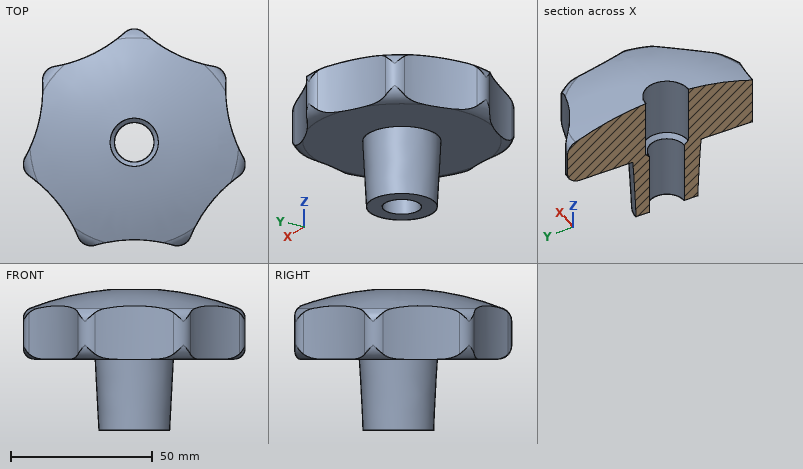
import cadquery as cq
import math

lobe_count = 7
tip_radius = 40.0
rounding_radius = 5.0
scallop_radius = 50.0
stem_height = 25.0
apex_height = 50.0
dome_radius = 100.0
stem_bottom_radius = 12.5
stem_draft = math.radians(3)
stem_top_radius = stem_bottom_radius + stem_height * math.tan(stem_draft)
bore_radius = 6.92
clearance_radius = 8.5
shoulder_bottom_z = stem_height
cutting_overrun = 5.0

dome_centre_z = apex_height - dome_radius
rounding_centre_radius = tip_radius - rounding_radius


def dome_height(radius):
    """Height of the dome surface at a distance from the knob axis."""
    return dome_centre_z + math.sqrt(dome_radius**2 - radius**2)


half_pitch = math.pi / lobe_count
tip_centre_across = rounding_centre_radius * math.sin(half_pitch)
tip_centre_along = rounding_centre_radius * math.cos(half_pitch)
scallop_centre_distance = tip_centre_along + math.sqrt(
    (scallop_radius + rounding_radius) ** 2 - tip_centre_across**2
)
scallop_floor_radius = scallop_centre_distance - scallop_radius


def polar(radius, angle):
    """Cartesian pair for a point at a distance and angle from the origin."""
    return (radius * math.cos(angle), radius * math.sin(angle))


def make_turned_head():
    """Head before scalloping: flat underside, rounded rim and shallow dome."""
    diagonal = rounding_radius * math.sqrt(0.5)
    lower_centre_z = stem_height + rounding_radius
    upper_centre_z = dome_centre_z + math.sqrt(
        (dome_radius - rounding_radius) ** 2 - rounding_centre_radius**2
    )
    rim_slope = math.acos(rounding_centre_radius / (dome_radius - rounding_radius))
    rim_end_radius = dome_radius * math.cos(rim_slope)
    rim_middle_offset = polar(rounding_radius, rim_slope / 2)
    dome_middle_radius = rim_end_radius / 2

    profile = (
        cq.Workplane("XZ")
        .moveTo(0, stem_height)
        .lineTo(rounding_centre_radius, stem_height)
        .threePointArc(
            (rounding_centre_radius + diagonal, lower_centre_z - diagonal),
            (tip_radius, lower_centre_z),
        )
        .lineTo(tip_radius, upper_centre_z)
        .threePointArc(
            (rounding_centre_radius + rim_middle_offset[0], upper_centre_z + rim_middle_offset[1]),
            (rim_end_radius, dome_height(rim_end_radius)),
        )
        .threePointArc(
            (dome_middle_radius, dome_height(dome_middle_radius)),
            (0, apex_height),
        )
        .close()
    )
    return profile.revolve(360, (0, 0, 0), (0, 1, 0))


def make_lobed_prism():
    """Upright prism with the seven-lobed outline; one lobe points along +Y."""
    tangent_share = scallop_radius / (scallop_radius + rounding_radius)
    tangent_across = tip_centre_across * tangent_share
    tangent_along = scallop_centre_distance + (tip_centre_along - scallop_centre_distance) * tangent_share
    tangent_radius = math.hypot(tangent_across, tangent_along)
    tangent_offset = half_pitch - math.atan2(tangent_across, tangent_along)

    first_tip_angle = math.pi / 2
    outline = cq.Workplane("XY").moveTo(*polar(tangent_radius, first_tip_angle - tangent_offset))
    for lobe in range(lobe_count):
        tip_angle = first_tip_angle + 2 * half_pitch * lobe
        next_tip_angle = tip_angle + 2 * half_pitch
        outline = outline.threePointArc(
            polar(tip_radius, tip_angle),
            polar(tangent_radius, tip_angle + tangent_offset),
        ).threePointArc(
            polar(scallop_floor_radius, tip_angle + half_pitch),
            polar(tangent_radius, next_tip_angle - tangent_offset),
        )
    return outline.wire().extrude(apex_height + cutting_overrun)


def make_stem():
    """Stem under the head, narrowing towards its lower end."""
    cone = cq.Solid.makeCone(stem_bottom_radius, stem_top_radius, stem_height)
    return cq.Workplane("XY").add(cone)


def make_stepped_bore():
    """Through bore, opened out by a conical shoulder to a clearance bore in the head."""
    shoulder_top_z = shoulder_bottom_z + clearance_radius - bore_radius
    profile = cq.Workplane("XZ").polyline([
        (0, -cutting_overrun),
        (bore_radius, -cutting_overrun),
        (bore_radius, shoulder_bottom_z),
        (clearance_radius, shoulder_top_z),
        (clearance_radius, apex_height + cutting_overrun),
        (0, apex_height + cutting_overrun),
    ])
    return profile.close().revolve(360, (0, 0, 0), (0, 1, 0))


head = make_turned_head().intersect(make_lobed_prism())
result = head.union(make_stem()).cut(make_stepped_bore())